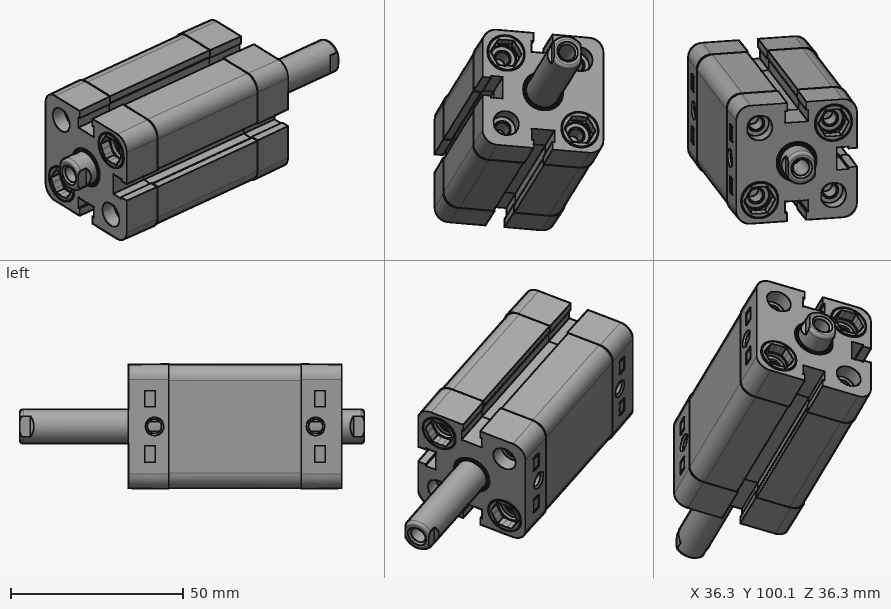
import cadquery as cq
import math


rod_length = 100.1
front_face_y = -43.5
rear_face_y = 18.5
cap_length = 11.8
front_seam_y = front_face_y + cap_length
rear_seam_y = rear_face_y - cap_length
barrel_length = rear_seam_y - front_seam_y

barrel_size = 36
barrel_corner_radius = 4.6
cap_seam_size = 36.3
cap_face_size = 36
cap_corner_radius = 4.4
cap_draft = math.degrees(math.atan((cap_seam_size - cap_face_size) / 2 / cap_length))

slot_floor = 12
slot_lip = 15.5
slot_width = 6.8
cap_slot_neck = 5.7
barrel_slot_neck = 6.2
slot_sides = (0, 90, 180)

rod_diameter = 10
bore_diameter = 20
cap_wall = 5
rod_end_round = 1
rod_flat_gap = 8
rod_flat_length = 3.1
rod_hole_diameter = 4.9
rod_hole_mouth = 6.2
rod_hole_depth = 12

wiper_outer = 12
wiper_floor_outer = 11.4
wiper_floor_inner = 10.9
wiper_lip = 10.5
wiper_depth = 0.4

corner_offset = 11
counterbore_diameter = 7.5
counterbore_depth = 4.5
corner_hole_diameter = 4.1
corner_hole_mouth = 4.9
corner_hole_depth = 10.5
hex_gap = 8
hex_relief_diameter = 8.2
hex_depth = 3.2
hex_groove_outer = 11.1
hex_groove_rim = 10.5
hex_groove_depth = 0.3

port_from_face = 7.6
port_diameter = 4.1
port_mouth = 5.1
port_chamfer = (port_mouth - port_diameter) / 2
bore_opening = 2.8
port_floor_x = -math.sqrt((bore_diameter / 2) ** 2 - (bore_opening / 2) ** 2)
label_from_face = 6.3
label_offset = 8
label_length = 3
label_height = 4.7
label_depth = 0.2


def rounded_square(size, radius):
    """Sketch of a square with rounded corners."""
    return cq.Sketch().rect(size, size).vertices().fillet(radius)


def cylinder(diameter, y_start, y_end, x=0, z=0):
    """Cylinder parallel to Y from y_start to the larger y_end."""
    plane = cq.Workplane("XZ", origin=(x, y_start, z))
    return plane.circle(diameter / 2).extrude(y_start - y_end)


def cone(start_diameter, end_diameter, y_start, length, x=0, z=0):
    """Cone frustum parallel to Y, running from y_start toward +Y."""
    solid = cq.Solid.makeCone(
        start_diameter / 2,
        end_diameter / 2,
        length,
        cq.Vector(x, y_start, z),
        cq.Vector(0, 1, 0),
    )
    return cq.Workplane(solid)


def slot_cutter(neck, y_start, y_end):
    """T-slots of the three slotted sides, as one cutter."""
    length = y_end - y_start
    y_middle = (y_start + y_end) / 2
    outside = cap_seam_size
    one_slot = (
        cq.Workplane("XY", origin=(0, y_middle, slot_floor))
        .rect(slot_width, length)
        .extrude(slot_lip - slot_floor)
    )
    one_slot = one_slot.union(
        cq.Workplane("XY", origin=(0, y_middle, slot_floor)).rect(neck, length).extrude(outside - slot_floor)
    )
    slots = cq.Workplane()
    for angle in slot_sides:
        slots = slots.add(one_slot.rotate((0, 0, 0), (0, 1, 0), angle))
    return slots.combine()


def make_barrel():
    """Slotted profile between the caps, bored for the piston."""
    barrel = (
        cq.Workplane("XZ", origin=(0, rear_seam_y, 0))
        .placeSketch(rounded_square(barrel_size, barrel_corner_radius))
        .extrude(barrel_length)
    )
    barrel = barrel.cut(slot_cutter(barrel_slot_neck, front_seam_y, rear_seam_y))
    return barrel.cut(cylinder(bore_diameter, front_seam_y, rear_seam_y))


def ring_groove(outer, floor_outer, floor_inner, inner, depth):
    """Ring groove around Y in the face Y = 0, given by its diameters at the face and at the floor."""
    return (
        cq.Workplane("XY")
        .moveTo(outer / 2, 0)
        .lineTo(floor_outer / 2, depth)
        .lineTo(floor_inner / 2, depth)
        .lineTo(inner / 2, 0)
        .close()
        .revolve(360, (0, 0, 0), (0, 1, 0))
    )


def rim_groove(x, z):
    """V-groove around a hexagonal socket, with a straight outer wall and a sloping inner one."""
    groove_profile = cq.Workplane("XY").polyline(
        [(hex_groove_outer / 2, 0), (hex_groove_outer / 2, hex_groove_depth), (hex_groove_rim / 2, 0)]
    )
    return groove_profile.close().revolve(360, (0, 0, 0), (0, 1, 0)).translate((x, 0, z))


def plain_corner_hole(x, z):
    """Counterbored blind hole in the cap face."""
    mouth_depth = (corner_hole_mouth - corner_hole_diameter) / 2
    hole = cylinder(counterbore_diameter, 0, counterbore_depth, x, z)
    hole = hole.union(cone(corner_hole_mouth, corner_hole_diameter, counterbore_depth, mouth_depth, x, z))
    return hole.union(cylinder(corner_hole_diameter, counterbore_depth, corner_hole_depth, x, z))


def hex_corner_hole(x, z):
    """Counterbored hole with a relieved hexagonal socket and a groove around its rim."""
    hex_corners = hex_gap / math.cos(math.pi / 6)
    socket = cq.Workplane("XZ", origin=(x, 0, z)).polygon(6, hex_corners).extrude(-hex_depth)
    relief = cylinder(hex_relief_diameter, 0, hex_depth, x, z)
    return plain_corner_hole(x, z).union(socket).union(relief).add(rim_groove(x, z)).combine()


def port_cutter():
    """Chamfered air port from the -X side to the bore."""
    side_x = -cap_face_size / 2
    outside = 1
    plane = cq.Workplane("YZ", origin=(port_floor_x, port_from_face, 0))
    port = plane.circle(port_diameter / 2).extrude(side_x - outside - port_floor_x)
    chamfer = cq.Solid.makeCone(
        port_diameter / 2,
        port_mouth / 2 + outside,
        port_chamfer + outside,
        cq.Vector(side_x + port_chamfer, port_from_face, 0),
        cq.Vector(-1, 0, 0),
    )
    return port.union(cq.Workplane(chamfer))


def label_cutter():
    """Two shallow label recesses, one on each side of the port."""
    plane = cq.Workplane("YZ", origin=(-cap_face_size / 2 + label_depth, label_from_face, 0))
    return (
        plane.pushPoints([(0, -label_offset), (0, label_offset)])
        .rect(label_length, label_height)
        .extrude(-cap_seam_size)
    )


def make_cap():
    """Cap with its outer face at Y = 0 and its seam face at Y = cap_length."""
    cap = (
        cq.Workplane("XZ", origin=(0, cap_length, 0))
        .placeSketch(rounded_square(cap_seam_size, cap_corner_radius))
        .extrude(cap_length, taper=cap_draft)
    )
    cap = cap.cut(slot_cutter(cap_slot_neck, 0, cap_length))
    cap = cap.cut(cylinder(bore_diameter, cap_wall, cap_length))
    cap = cap.cut(cylinder(rod_diameter, 0, cap_wall))
    cap = cap.cut(
        ring_groove(wiper_outer, wiper_floor_outer, wiper_floor_inner, wiper_lip, wiper_depth)
    )
    for side in (-1, 1):
        cap = cap.cut(hex_corner_hole(side * corner_offset, side * corner_offset))
        cap = cap.cut(plain_corner_hole(side * corner_offset, -side * corner_offset))
    return cap.cut(port_cutter()).cut(label_cutter())


def make_piston():
    """Piston that fills the bore, with a hole for the rod."""
    y_start = front_face_y + cap_wall
    y_end = rear_face_y - cap_wall
    piston = cylinder(bore_diameter, y_start, y_end)
    return piston.cut(cylinder(rod_diameter, y_start, y_end))


def rod_end_cutter():
    """Wrench flats and blind hole for a rod end at Y = 0 with the rod toward +Y."""
    flat_x = rod_flat_gap / 2
    outer_x = rod_diameter
    flat = (
        cq.Workplane("XY", origin=(0, 0, -rod_diameter / 2))
        .moveTo(flat_x, 0)
        .lineTo(flat_x, rod_flat_length)
        .lineTo(outer_x, rod_flat_length + outer_x - flat_x)
        .lineTo(outer_x, 0)
        .close()
        .extrude(rod_diameter)
    )
    mouth_depth = (rod_hole_mouth - rod_hole_diameter) / 2
    hole = cylinder(rod_hole_diameter, 0, rod_hole_depth)
    hole = hole.union(cone(rod_hole_mouth, rod_hole_diameter, 0, mouth_depth))
    return hole.add(flat).add(flat.mirror("YZ")).combine()


def make_rod():
    """Through rod with rounded ends, wrench flats and end holes."""
    half = rod_length / 2
    rod = cylinder(rod_diameter, -half, half).edges("%CIRCLE").fillet(rod_end_round)
    end_cutter = rod_end_cutter()
    rod = rod.cut(end_cutter.translate((0, -half, 0)))
    return rod.cut(end_cutter.mirror("XZ").translate((0, half, 0)))


barrel = make_barrel()
piston = make_piston()
rod = make_rod()
front_cap = make_cap().translate((0, front_face_y, 0))
rear_cap = make_cap().mirror("XZ").translate((0, rear_face_y, 0))

result = cq.Compound.makeCompound(
    [barrel.val(), front_cap.val(), rear_cap.val(), piston.val(), rod.val()]
)